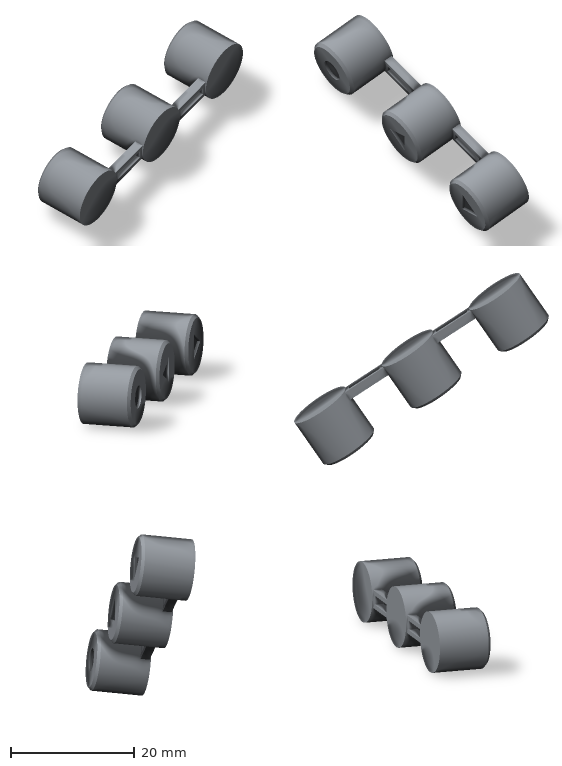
import cadquery as cq
import math

total_length = 44.1
button_diameter = 10.0
button_depth = 8.8
front_chamfer = 0.5
button_pitch = (total_length - button_diameter) / 2
front_x = -button_depth / 2
back_x = button_depth / 2

web_thickness = 1.5
web_height = 3.0
web_back_gap = 0.2
slot_length = 6.0
slot_height = 1.5
web_center_x = back_x - web_back_gap - web_thickness / 2

symbol_depth = 0.5
circle_diameter = 3.75
triangle_circumradius = 2.5


def button(center_y):
    """Cylinder along X with a chamfered front edge."""
    body = cq.Workplane("YZ", origin=(front_x, center_y, 0)).circle(button_diameter / 2).extrude(button_depth)
    return body.faces("<X").edges().chamfer(front_chamfer)


def web(center_y):
    """Flat web running between two button centers."""
    return cq.Workplane("XY").box(web_thickness, button_pitch, web_height).translate((web_center_x, center_y, 0))


def web_slot(center_y):
    """Rectangular opening through a web."""
    return cq.Workplane("XY").box(web_thickness, slot_length, slot_height).translate((web_center_x, center_y, 0))


def circle_recess(center_y):
    """Shallow round recess in a front face."""
    face = cq.Workplane("YZ", origin=(front_x, center_y, 0))
    return face.circle(circle_diameter / 2).extrude(symbol_depth)


def triangle_recess(center_y, direction):
    """Shallow equilateral recess, pointing to +Y (1) or -Y (-1)."""
    base_y = -direction * triangle_circumradius / 2
    half_base = triangle_circumradius * math.sin(math.radians(60))
    corners = [(direction * triangle_circumradius, 0), (base_y, half_base), (base_y, -half_base)]
    return cq.Workplane("YZ", origin=(front_x, center_y, 0)).polyline(corners).close().extrude(symbol_depth)


result = button(0)
for side in (-1, 1):
    result = result.union(button(side * button_pitch))
    result = result.union(web(side * button_pitch / 2))
    result = result.cut(web_slot(side * button_pitch / 2))

result = result.cut(circle_recess(button_pitch))
result = result.cut(triangle_recess(0, 1))
result = result.cut(triangle_recess(-button_pitch, -1))